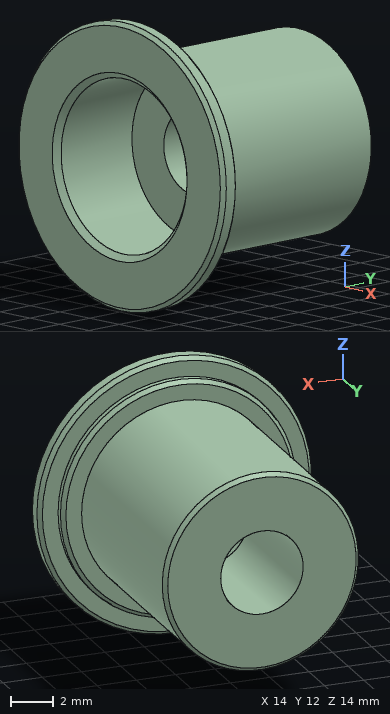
import cadquery as cq

total_length = 12.0
body_diameter = 10.0
flange_diameter = 14.0
flange_thickness = 1.0
shoulder_diameter = 12.0
shoulder_thickness = 0.5
outer_chamfer = 0.2

bore_diameter = 8.5
bore_chamfer = 0.3
bore_depth = 5.0
through_hole_diameter = 4.2


def disc(diameter, start, length):
    """Solid cylinder along +Y, beginning at Y = start."""
    plane = cq.Workplane("XZ", origin=(0, start, 0))
    return plane.circle(diameter / 2).extrude(-length)


def make_flange():
    return disc(flange_diameter, 0, flange_thickness).edges().chamfer(outer_chamfer)


def make_shoulder():
    shoulder = disc(shoulder_diameter, flange_thickness, shoulder_thickness)
    return shoulder.faces(">Y").edges().chamfer(outer_chamfer)


def make_body():
    return disc(body_diameter, 0, total_length).faces(">Y").edges().chamfer(outer_chamfer)


def cut_bore(part):
    """Wide bore from the flange face, with a small hole continuing through the far end."""
    part = part.cut(disc(bore_diameter, 0, bore_depth))
    part = part.cut(disc(through_hole_diameter, 0, total_length))
    mouth = part.faces("<Y").edges(cq.selectors.RadiusNthSelector(0))
    return mouth.chamfer(bore_chamfer)


result = cut_bore(make_flange().union(make_shoulder()).union(make_body()))